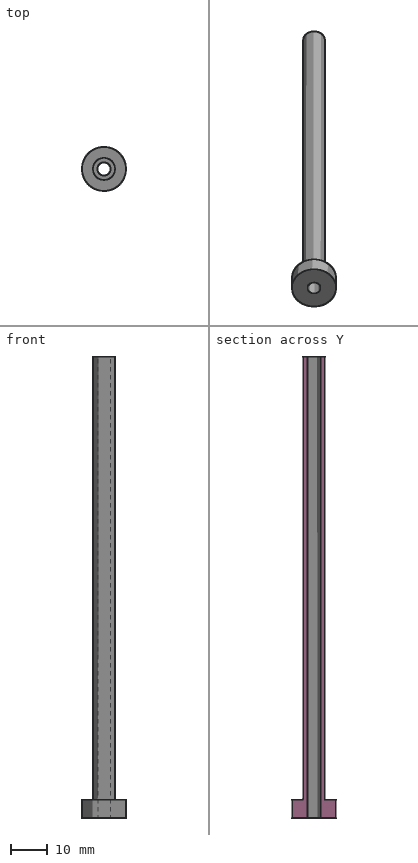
import cadquery as cq

total_length = 125.0
head_diameter = 12.0
head_height = 5.0
shank_diameter = 6.0
bore_diameter = 3.5
neck_fillet_radius = 0.3


def make_sleeve_body():
    """Revolve head and shank as one solid, with a fillet where the shank meets the head."""
    head_radius = head_diameter / 2
    shank_radius = shank_diameter / 2
    fillet_top = (shank_radius, head_height + neck_fillet_radius)
    half_profile = (
        cq.Workplane("XZ")
        .moveTo(0, 0)
        .lineTo(head_radius, 0)
        .lineTo(head_radius, head_height)
        .lineTo(shank_radius + neck_fillet_radius, head_height)
        .radiusArc(fillet_top, neck_fillet_radius)
        .lineTo(shank_radius, total_length)
        .lineTo(0, total_length)
        .close()
    )
    return half_profile.revolve(360, (0, 0, 0), (0, 1, 0))


def cut_bore(body):
    """Drill the bore through the whole length."""
    bore = cq.Workplane("XY").circle(bore_diameter / 2).extrude(total_length)
    return body.cut(bore)


result = cut_bore(make_sleeve_body())